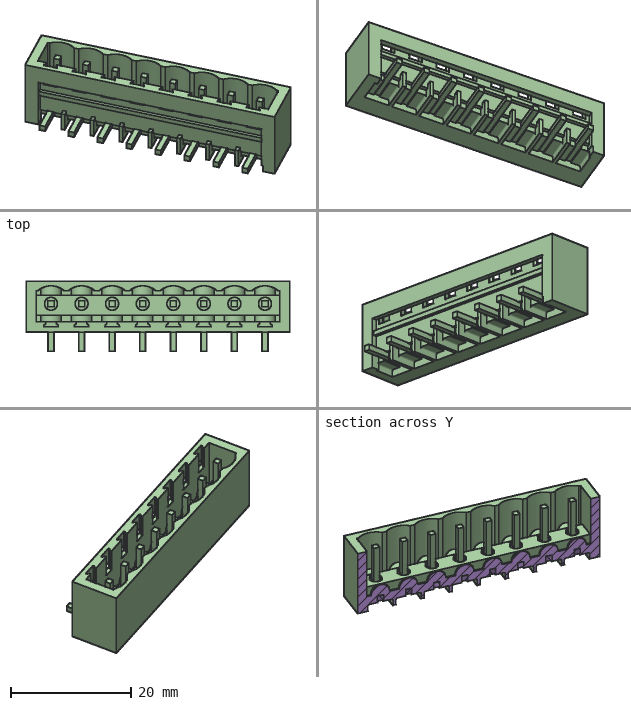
import cadquery as cq

LENGTH = 43.85
DEPTH = 8.5
HEIGHT = 12.0

PIN_COUNT = 8
PITCH = 5.1
PIN_SIZE = 1.0
PIN_BOTTOM = 1.55
PIN_TOP = 11.15
PIN_Y = 4.75
PIN_BACK = PIN_Y + PIN_SIZE / 2
PIN_REACH = 3.2

POCKET_LENGTH = 40.5
POCKET_FRONT = 1.7
POCKET_BACK = 6.93
POCKET_FLOOR = 3.05
SCALLOP_CHORD = 4.3
SCALLOP_DEPTH = 0.8

HUMP_RADIUS = 1.7
BAND_FRONT = 2.85
BAND_BACK = 6.2
BAND_TOP = POCKET_FLOOR + HUMP_RADIUS
COUNTERBORE_DIAMETER = 2.15
COUNTERBORE_DEPTH = 0.45

SLOT_FLOOR = 7.95
SLOT_WIDTH = 2.35
SLOT_NECK = 1.75
SLOT_LAND = 0.2

WINDOW_HALF_CELL = 1.8
WINDOW_LENGTH = (PIN_COUNT - 1) * PITCH + 2 * WINDOW_HALF_CELL
WINDOW_TOP = 8.85
PANEL_FRONT = 0.9
PANEL_BOTTOM = 2.45
LOWER_WALL_FRONT = 1.5
RIB_BOTTOM = 5.87
RIB_TOP = 6.7
RIB_DEPTH = 0.55

FIN_WIDTH = 0.6
FIN_TOP = 3.3
CAVITY_WIDTH = PITCH - FIN_WIDTH
CAVITY_HEIGHT = 1.25
CAVITY_RADIUS = 0.2
RELIEF_WIDTH = 0.25

PIN_XS = [(i - (PIN_COUNT - 1) / 2) * PITCH for i in range(PIN_COUNT)]
FIN_XS = [x + PITCH / 2 for x in PIN_XS[:-1]]


def block(x_min, x_max, y_min, y_max, z_min, z_max):
    """Box between two opposite corners."""
    size = (x_max - x_min, y_max - y_min, z_max - z_min)
    return cq.Workplane("XY").box(*size, centered=False).translate((x_min, y_min, z_min))


def centred_block(x, width, y_min, y_max, z_min, z_max):
    """Box of the given X width, centred on x."""
    return block(x - width / 2, x + width / 2, y_min, y_max, z_min, z_max)


def make_pocket():
    """Space of the plug pocket: a straight trough with a scalloped back side."""
    outline = (
        cq.Workplane("XY", origin=(0, 0, POCKET_FLOOR))
        .moveTo(-POCKET_LENGTH / 2, POCKET_FRONT)
        .lineTo(-POCKET_LENGTH / 2, POCKET_BACK)
    )
    for x in PIN_XS:
        outline = outline.lineTo(x - SCALLOP_CHORD / 2, POCKET_BACK).threePointArc(
            (x, POCKET_BACK + SCALLOP_DEPTH), (x + SCALLOP_CHORD / 2, POCKET_BACK)
        )
    outline = outline.lineTo(POCKET_LENGTH / 2, POCKET_BACK).lineTo(POCKET_LENGTH / 2, POCKET_FRONT)
    return outline.close().extrude(HEIGHT - POCKET_FLOOR)


def make_hump(x):
    """Half-round hump lying across the pocket floor, running into both pocket walls."""
    return (
        cq.Workplane("XZ", origin=(x, POCKET_FRONT, POCKET_FLOOR))
        .moveTo(-HUMP_RADIUS, 0)
        .threePointArc((0, HUMP_RADIUS), (HUMP_RADIUS, 0))
        .close()
        .extrude(POCKET_FRONT - POCKET_BACK - SCALLOP_DEPTH)
    )


def make_coding_slot(x):
    """Dovetail space, widest at the panel face and tapering at 45 degrees to a neck at the pocket."""
    taper_front = PANEL_FRONT + SLOT_LAND
    taper_back = taper_front + (SLOT_WIDTH - SLOT_NECK) / 2
    return (
        cq.Workplane("XY", origin=(x, 0, SLOT_FLOOR))
        .moveTo(-SLOT_WIDTH / 2, PANEL_FRONT)
        .lineTo(SLOT_WIDTH / 2, PANEL_FRONT)
        .lineTo(SLOT_WIDTH / 2, taper_front)
        .lineTo(SLOT_NECK / 2, taper_back)
        .lineTo(SLOT_NECK / 2, POCKET_FRONT)
        .lineTo(-SLOT_NECK / 2, POCKET_FRONT)
        .lineTo(-SLOT_NECK / 2, taper_back)
        .lineTo(-SLOT_WIDTH / 2, taper_front)
        .close()
        .extrude(HEIGHT - SLOT_FLOOR)
    )


def make_cavity(x):
    """Space under the floor at one contact, open below, with rounded upper corners."""
    return (
        centred_block(x, CAVITY_WIDTH, LOWER_WALL_FRONT, PIN_BACK, 0, CAVITY_HEIGHT)
        .edges("|Y and >Z")
        .fillet(CAVITY_RADIUS)
    )


def make_leg_relief():
    """Relief at the foot of the +X leg, as tall as the cavities and open to the front."""
    leg = WINDOW_LENGTH / 2
    return (
        block(leg, leg + RELIEF_WIDTH, 0, LOWER_WALL_FRONT, 0, CAVITY_HEIGHT)
        .edges("|Y and >Z and >X")
        .fillet(CAVITY_RADIUS)
    )


def make_pin(x):
    """Right-angle square contact: an upright leg and a tail out through the front."""
    half = PIN_SIZE / 2
    upright = centred_block(x, PIN_SIZE, PIN_Y - half, PIN_BACK, PIN_BOTTOM, PIN_TOP)
    tail = centred_block(x, PIN_SIZE, -PIN_REACH, PIN_BACK, PIN_BOTTOM, PIN_BOTTOM + PIN_SIZE)
    return upright.union(tail)


def make_pin_space(x):
    """Space for one contact, open down to the cavity."""
    entry = centred_block(x, PIN_SIZE, 0, PIN_BACK, CAVITY_HEIGHT, PIN_BOTTOM)
    return make_pin(x).union(entry)


def make_counterbore(x):
    """Round recess around the contact in the floor band."""
    return (
        cq.Workplane("XY", origin=(x, PIN_Y, BAND_TOP - COUNTERBORE_DEPTH))
        .circle(COUNTERBORE_DIAMETER / 2)
        .extrude(COUNTERBORE_DEPTH)
    )


def make_housing():
    body = centred_block(0, LENGTH, 0, DEPTH, 0, HEIGHT)

    pocket = make_pocket()
    for x in PIN_XS:
        pocket = pocket.cut(make_hump(x))
    pocket = pocket.cut(centred_block(0, POCKET_LENGTH, BAND_FRONT, BAND_BACK, POCKET_FLOOR, BAND_TOP))
    body = body.cut(pocket)

    body = body.cut(centred_block(0, WINDOW_LENGTH, 0, PANEL_FRONT, 0, WINDOW_TOP))
    body = body.cut(centred_block(0, WINDOW_LENGTH, 0, LOWER_WALL_FRONT, 0, PANEL_BOTTOM))
    rib_front = PANEL_FRONT - RIB_DEPTH
    body = body.union(centred_block(0, WINDOW_LENGTH, rib_front, PANEL_FRONT, RIB_BOTTOM, RIB_TOP))

    for x in FIN_XS:
        body = body.union(centred_block(x, FIN_WIDTH, 0, PANEL_FRONT, 0, FIN_TOP))
        body = body.union(centred_block(x, FIN_WIDTH, 0, LOWER_WALL_FRONT, 0, PANEL_BOTTOM))

    for x in PIN_XS:
        body = body.cut(make_coding_slot(x))
        body = body.cut(make_cavity(x))
        body = body.cut(make_counterbore(x))
        body = body.cut(make_pin_space(x))
    return body.cut(make_leg_relief())


housing = make_housing()
pins = [make_pin(x) for x in PIN_XS]

result = cq.Compound.makeCompound([housing.val(), *[pin.val() for pin in pins]])